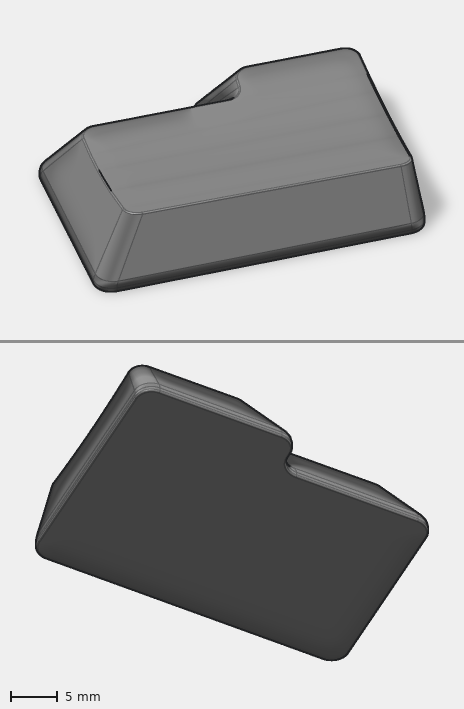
import cadquery as cq
import math


width = 27.45
length = 37.2
notch_width = 4.58
notch_length = 18.55
foot_corner_radius = 2.0

skirt_height = 0.65
shoulder_height = 1.38
side_lean = math.radians(27.2)
front_lean = math.radians(34)
back_lean = math.radians(5.5)

blank_height = 8.93
blank_corner_radius = 1.55

dish_radius = 71.45
dish_front_height = 6.77
dish_back_height = 6.35
rim_radius = 0.22


def wall_inset(height, lean):
    """Distance a wall has moved inwards from the foot: none, then a parabola, then straight."""
    shoulder = shoulder_height - skirt_height
    rise = height - skirt_height
    if rise <= 0:
        return 0
    if rise < shoulder:
        return math.tan(lean) * rise**2 / (2 * shoulder)
    return math.tan(lean) * (rise - shoulder / 2)


def outline(height):
    """L-shaped outline of the walls at a height, with every corner rounded."""
    left = -width / 2 + wall_inset(height, side_lean)
    right = width / 2 - wall_inset(height, side_lean)
    front = -length / 2 + wall_inset(height, front_lean)
    back = length / 2 - wall_inset(height, back_lean)
    notch_x = left + notch_width
    notch_y = front + notch_length
    corners = [
        (notch_x, front),
        (right, front),
        (right, back),
        (left, back),
        (left, notch_y),
        (notch_x, notch_y),
    ]
    sharp = cq.Wire.makePolygon([cq.Vector(x, y, height) for x, y in corners], close=True)
    taper = max(0, height - skirt_height) / (blank_height - skirt_height)
    radius = foot_corner_radius + taper * (blank_corner_radius - foot_corner_radius)
    return sharp.fillet2D(radius, sharp.Vertices())


def make_blank():
    """Upright skirt, curved shoulder and straight leaning walls, one on the other."""
    shoulder_middle = (skirt_height + shoulder_height) / 2
    skirt = cq.Solid.makeLoft([outline(0), outline(skirt_height)], True)
    shoulder_levels = [skirt_height, shoulder_middle, shoulder_height]
    shoulder = cq.Solid.makeLoft([outline(level) for level in shoulder_levels], False)
    walls = cq.Solid.makeLoft([outline(shoulder_height), outline(blank_height)], True)
    return cq.Workplane(skirt).union(cq.Workplane(shoulder)).union(cq.Workplane(walls))


def make_dish():
    """Cylinder that hollows the top, overrunning both ends of the key."""
    axis = cq.Vector(0, length, dish_back_height - dish_front_height)
    front_end = cq.Vector(0, -length / 2, dish_front_height + dish_radius)
    start = front_end - axis * 0.5
    return cq.Workplane(cq.Solid.makeCylinder(dish_radius, 2 * axis.Length, start, axis))


result = make_blank().cut(make_dish())
result = result.faces("%CYLINDER").edges().fillet(rim_radius)